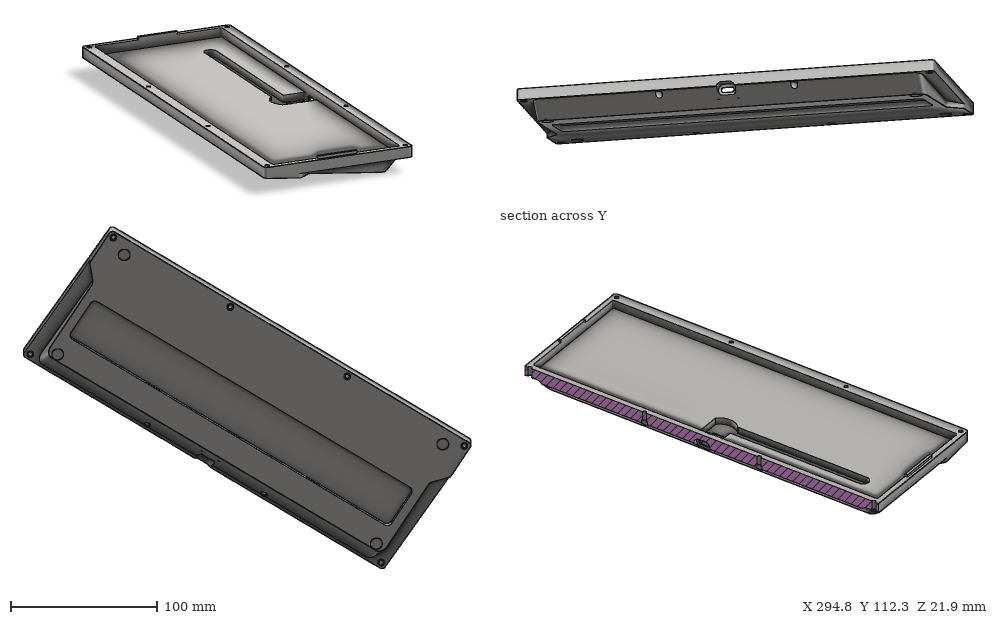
import cadquery as cq
import math


length = 294.75
depth = 112.25
half_length = length / 2
half_depth = depth / 2
tray_height = 7.9
edge_break = 0.2
corner_radius = 2.5
side_wall = 4.0
end_wall = 8.0
cavity_back = half_depth - end_wall
cavity_depth = 6.6
cavity_radius = 1.5

tab_height = 2.0
tab_width = 2.0
tab_length = 29.5

tilt = 7.0
tilt_tangent = math.tan(math.radians(tilt))
total_height = 21.93
wedge_bottom = total_height - tab_height + edge_break * math.sin(math.radians(tilt))
back_ledge = 2.1
foot_inset = 9.9
notch_start = 27.5
notch_run = 10.8
notch_outer_radius = 2.0
notch_inner_radius = 4.0
back_edge_radius = 5.0

screw_diameter = 2.9
screw_head_diameter = 4.7
screw_seat_z = -7.4
screw_columns = 4
screw_pitch = 95.5
screw_row = 52.2

pad_diameter = 8.1
pad_depth = 1.0
pad_x = 130.1
pad_front_offset = 10.5
pad_back_offset = 94.0

recess_length = 262.0
recess_front = 48.0
recess_back = 79.6
recess_depth = 4.2
recess_radius = 3.6

channel_depth = 5.2
channel_width = 9.0
channel_left = -121.5
channel_top = 31.7
pocket_width = 18.7
pocket_step = 0.5
pocket_radius = 1.25
bulge_radius = 12.6
bulge_front = 18.2

seat_diameter = 4.7
seat_corner_radius = 2.0
seat_blend_radius = 0.8
seat_hole_diameter = 1.6
seat_hole_depth = 3.0
seat_pitch_x = 14.0
seat_front = 33.7
seat_back = 45.8

port_width = 9.0
port_height = 3.6
port_z = -9.2
port_wall = 1.0
plug_width = 13.0
plug_height = 8.0

overcut = 30.0


def underside_z(y):
    """Height of the sloping underside at a given Y."""
    return -tray_height - tilt_tangent * (y + half_depth)


def block(x0, x1, y0, y1, z0, z1):
    """Box given by its limits."""
    return cq.Workplane("XY").box(x1 - x0, y1 - y0, z1 - z0, centered=False).translate((x0, y0, z0))


def underside_plane(x, y):
    """Workplane on the sloping underside at (x, y), facing out of the part."""
    tilt_radians = math.radians(tilt)
    normal = (0, -math.sin(tilt_radians), -math.cos(tilt_radians))
    return cq.Workplane(cq.Plane(origin=(x, y, underside_z(y)), xDir=(1, 0, 0), normal=normal))


def make_outer_body():
    back_y = half_depth - back_ledge
    bottom_y = (wedge_bottom - tray_height) / tilt_tangent - half_depth
    body = (
        cq.Workplane("YZ")
        .polyline(
            [
                (-half_depth, 0),
                (half_depth, 0),
                (half_depth, -tray_height),
                (back_y, -tray_height),
                (bottom_y, underside_z(bottom_y)),
                (-half_depth, -tray_height),
            ]
        )
        .close()
        .extrude(half_length, both=True)
    )
    body = body.edges("|Z").fillet(corner_radius)
    for side in (-1, 1):
        body = body.cut(make_side_notch(side))
    oblique_edges = cq.selectors.BoxSelector(
        (-half_length, bottom_y + 1, -wedge_bottom + 1), (half_length, back_y - 1, -tray_height - 1)
    )
    body = body.edges(oblique_edges).fillet(back_edge_radius)
    body = body.faces(">Z").edges().chamfer(edge_break)
    underside_center = cq.selectors.NearestToPointSelector((0, 0, underside_z(0)))
    return body.faces(underside_center).edges().chamfer(edge_break)


def make_side_notch(side):
    """Space beside the narrow part of the wedge."""
    outer_x = side * half_length
    inner_x = side * (half_length - foot_inset)
    far_x = side * (half_length + overcut)
    start_y = -half_depth + notch_start
    notch = (
        cq.Workplane("XY")
        .workplane(offset=-tray_height)
        .polyline(
            [
                (outer_x, start_y),
                (inner_x, start_y + notch_run),
                (inner_x, half_depth + overcut),
                (far_x, half_depth + overcut),
                (far_x, start_y - overcut),
                (outer_x, start_y - overcut),
            ]
        )
        .close()
        .extrude(-overcut)
    )
    inner_edge = cq.selectors.NearestToPointSelector((inner_x, start_y + notch_run, -tray_height - overcut / 2))
    outer_edge = cq.selectors.NearestToPointSelector((outer_x, start_y, -tray_height - overcut / 2))
    return notch.edges(inner_edge).fillet(notch_inner_radius).edges(outer_edge).fillet(notch_outer_radius)


def make_cavity():
    return (
        cq.Workplane("XY")
        .rect(length - 2 * side_wall, depth - 2 * end_wall)
        .extrude(-cavity_depth)
        .edges("|Z")
        .fillet(cavity_radius)
    )


def make_electronics_recess():
    """Channel with a round end, its bulge and the board pocket at the back wall."""
    height = cavity_depth + channel_depth
    channel_radius = channel_width / 2
    half_pocket = pocket_width / 2
    channel_start = channel_left + channel_radius
    channel_bottom = channel_top - channel_width
    channel = block(channel_start, 0, channel_bottom, channel_top, -height, 0)
    channel_end = (
        cq.Workplane("XY")
        .center(channel_start, channel_top - channel_radius)
        .circle(channel_radius)
        .extrude(-height)
    )
    bulge = cq.Workplane("XY").center(0, bulge_front + bulge_radius).circle(bulge_radius).extrude(-height)
    bulge = bulge.intersect(block(-half_pocket, half_pocket, bulge_front, channel_top, -height, 0))
    pocket = block(-half_pocket, half_pocket, bulge_front + bulge_radius / 2, cavity_back, -height, 0)
    pocket = pocket.edges("|Z and >Y").fillet(pocket_radius)
    recess = channel.union(channel_end).union(bulge).union(pocket)
    inner_corner = cq.selectors.NearestToPointSelector((-half_pocket, channel_top, -height / 2))
    return recess.edges(inner_corner).fillet(pocket_radius)


def make_pocket_floor():
    """Deeper floor of the board pocket, leaving a rounded seat in each corner, with the seat holes."""
    top = -cavity_depth - channel_depth
    bottom = top - pocket_step
    half_pocket = pocket_width / 2
    reach = seat_diameter / 2
    seat_x = seat_pitch_x / 2
    inner_x = seat_x - reach
    points = [(side * seat_x, y) for side in (-1, 1) for y in (seat_front, seat_back)]

    floor = block(-inner_x, inner_x, channel_top, cavity_back, bottom, top)
    floor = floor.union(
        block(-half_pocket, half_pocket, seat_front + reach, seat_back - reach, bottom, top)
    )
    outer_ends = "(>X or <X or >Y or <Y)"
    floor = floor.edges(f"|Z and (not {outer_ends})").fillet(seat_corner_radius)
    floor = floor.edges(f"|Z and {outer_ends}").fillet(seat_blend_radius)
    holes = (
        cq.Workplane("XY")
        .workplane(offset=top)
        .pushPoints(points)
        .circle(seat_hole_diameter / 2)
        .extrude(-seat_hole_depth)
    )
    return floor.union(holes)


def make_slot(width, height, start_y):
    """Horizontal slot at the port height, running from start_y out through the back."""
    return (
        cq.Workplane("XZ", origin=(0, start_y, port_z))
        .slot2D(width, height)
        .extrude(start_y - half_depth)
    )


def make_port():
    """Port opening through a thin wall, with room for the plug outside it."""
    opening = make_slot(port_width, port_height, cavity_back)
    return opening.union(make_slot(plug_width, plug_height, cavity_back + port_wall))


def make_screw_hole(x, y):
    hole = cq.Workplane("XY").center(x, y).circle(screw_diameter / 2).extrude(-overcut)
    head = (
        cq.Workplane("XY")
        .workplane(offset=screw_seat_z)
        .center(x, y)
        .circle(screw_head_diameter / 2)
        .extrude(-overcut)
    )
    return hole.union(head)


def make_underside_recess():
    """Rounded rectangle sunk square to the underside."""
    middle = (recess_front + recess_back) / 2 - half_depth
    width = (recess_back - recess_front) / math.cos(math.radians(tilt))
    mouth = underside_plane(0, middle)
    recess = mouth.rect(recess_length, width).extrude(-recess_depth)
    return recess.edges(cq.selectors.ParallelDirSelector(mouth.plane.zDir)).fillet(recess_radius)


def make_tab(side):
    middle = side * (half_length - side_wall + tab_width / 2)
    half_width = tab_width / 2
    return block(middle - half_width, middle + half_width, -tab_length / 2, tab_length / 2, -1, tab_height)


result = make_outer_body().cut(make_cavity()).cut(make_electronics_recess())
result = result.cut(make_pocket_floor()).cut(make_port()).cut(make_underside_recess())

for column in range(screw_columns):
    screw_x = (column - (screw_columns - 1) / 2) * screw_pitch
    for screw_y in (-screw_row, screw_row):
        result = result.cut(make_screw_hole(screw_x, screw_y))

for side in (-1, 1):
    result = result.union(make_tab(side))
    for offset in (pad_front_offset, pad_back_offset):
        pad = underside_plane(side * pad_x, offset - half_depth).circle(pad_diameter / 2).extrude(-pad_depth)
        result = result.cut(pad)